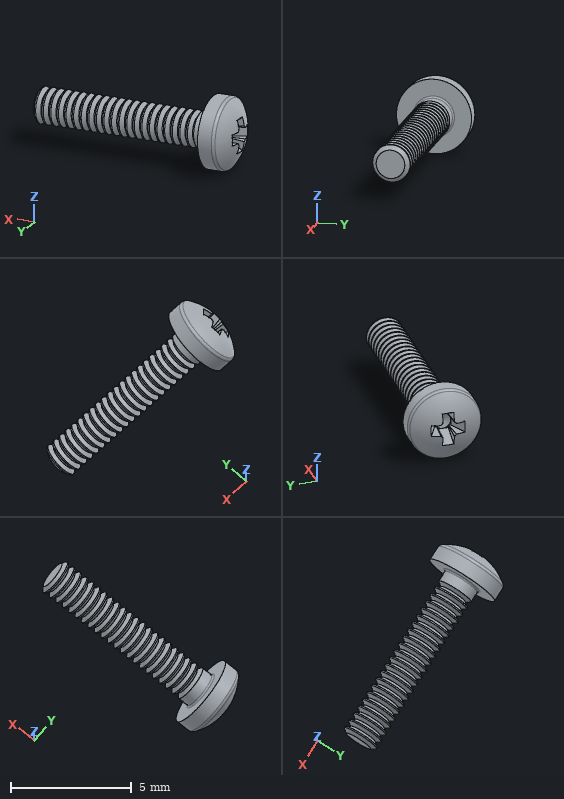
import cadquery as cq
import math


overall_length = 9.27

head_diameter = 3.2
dome_radius = 2.475
rim_fillet = 0.18

shank_diameter = 1.6
shank_length = 8.0
neck_fillet = 0.07
thread_start = 0.695
thread_count = 21
thread_depth = 0.195
crest_width = 0.065

wing_width = 0.49
wing_span = 1.58
recess_depth = 0.91
core_mouth_radius = 0.42
core_floor_radius = 0.35
tip_depth = 0.12


def dome_drop(radius):
    """Axial distance from the crown of the dome to its surface at a radius."""
    return dome_radius - math.sqrt(dome_radius**2 - radius**2)


head_height = overall_length - shank_length + dome_drop(core_mouth_radius)
head_radius = head_diameter / 2
shank_radius = shank_diameter / 2
root_radius = shank_radius - thread_depth
thread_pitch = (shank_length - thread_start) / thread_count
flank_width = (thread_pitch - crest_width) / 2


def make_head():
    """Revolve the domed disc and round its rim."""
    mid_radius = head_radius / 2
    rim_x = dome_drop(head_radius) - head_height
    rim_margin = rim_fillet / 10
    head = (
        cq.Workplane("XY")
        .lineTo(0, head_radius)
        .lineTo(rim_x, head_radius)
        .threePointArc((dome_drop(mid_radius) - head_height, mid_radius), (-head_height, 0))
        .close()
        .revolve(360, (0, 0), (1, 0))
    )
    rim = cq.selectors.BoxSelector(
        (rim_x - rim_margin, -head_diameter, -head_diameter),
        (rim_x + rim_margin, head_diameter, head_diameter),
    )
    return head.edges(rim).fillet(rim_fillet)


def make_shank():
    """Revolve the shank, with its thread as a row of equal ring ridges ending in a root."""
    arc_offset = neck_fillet * (1 - math.sqrt(0.5))
    profile = (
        cq.Workplane("XY")
        .lineTo(0, shank_radius + neck_fillet)
        .threePointArc(
            (arc_offset, shank_radius + arc_offset),
            (neck_fillet, shank_radius),
        )
        .lineTo(thread_start - flank_width, shank_radius)
        .lineTo(thread_start, root_radius)
    )
    for ridge in range(thread_count):
        ridge_start = thread_start + ridge * thread_pitch
        profile = (
            profile
            .lineTo(ridge_start + flank_width, shank_radius)
            .lineTo(ridge_start + flank_width + crest_width, shank_radius)
            .lineTo(ridge_start + thread_pitch, root_radius)
        )
    return profile.lineTo(shank_length, 0).close().revolve(360, (0, 0), (1, 0))


def make_recess():
    """Cutter for the recess: two crossed tapering wings around a pointed conical core."""
    floor_x = recess_depth - head_height
    mouth_x = dome_drop(core_mouth_radius) - head_height
    wing = (
        cq.Workplane("XY")
        .polyline([
            (-head_height, wing_span / 2),
            (floor_x, core_floor_radius),
            (floor_x, -core_floor_radius),
            (-head_height, -wing_span / 2),
        ])
        .close()
        .extrude(wing_width / 2, both=True)
    )
    core = (
        cq.Workplane("XY")
        .polyline([
            (-head_height, 0),
            (-head_height, core_mouth_radius),
            (mouth_x, core_mouth_radius),
            (floor_x, core_floor_radius),
            (floor_x + tip_depth, 0),
        ])
        .close()
        .revolve(360, (0, 0), (1, 0))
    )
    crossed_wing = wing.rotate((0, 0, 0), (1, 0, 0), 90)
    return core.union(wing).union(crossed_wing)


result = make_head().union(make_shank()).cut(make_recess())